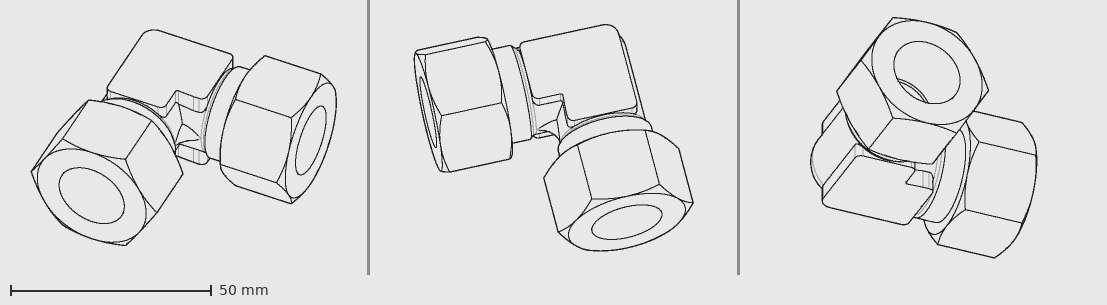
import cadquery as cq
import math


overall_length = 58.3

nut_across_flats = 30.0
nut_across_corners = nut_across_flats / math.cos(math.radians(30))
nut_length = 18.0
nut_chamfer_angle = 30
arm_end = overall_length - nut_across_corners / 2
nut_start = arm_end - nut_length

body_radius = 11.0
body_end = 16.0
collar_radius = 12.0
collar_start = 17.5
neck_fillet = 1.15
neck_step_angle = 45
outer_bend_radius = 5.5
outer_bend_center = body_radius - outer_bend_radius
inner_bend_radius = body_end - body_radius
web_radius = 2.7

pad_half_thickness = 11.45
pad_half_x = 8.05
pad_half_y = 8.85
pad_inner_corner_y = -8.6
pad_taper_end = 12.85
pad_outer_fillet = 3.3
pad_end_fillet = 1.5
pad_inner_fillet = 0.5

bore_radius = 8.5
socket_radius = 9.0
socket_depth = nut_length
drill_tip_angle = 120


def revolved_about_x(profile):
    return profile.close().revolve(360, (0, 0, 0), (1, 0, 0))


def arm_body():
    """Round arm along +X, with a concave neck and a conical step up to the collar."""

    def neck_point(degrees):
        turn = math.radians(degrees)
        return (
            body_end + neck_fillet * math.sin(turn),
            body_radius + neck_fillet * (1 - math.cos(turn)),
        )

    return revolved_about_x(
        cq.Workplane("XY")
        .moveTo(-outer_bend_center, 0)
        .lineTo(-outer_bend_center, body_radius)
        .lineTo(body_end, body_radius)
        .threePointArc(neck_point(neck_step_angle / 2), neck_point(neck_step_angle))
        .lineTo(collar_start, collar_radius)
        .lineTo(nut_start, collar_radius)
        .lineTo(nut_start, 0)
    )


def nut():
    """Hexagon nut along +X with both ends chamfered by turning."""
    flat_radius = nut_across_flats / 2
    corner_radius = nut_across_corners / 2
    chamfer_length = (corner_radius - flat_radius) * math.tan(math.radians(nut_chamfer_angle))
    hexagon = (
        cq.Workplane("YZ", origin=(nut_start, 0, 0))
        .polygon(6, nut_across_corners)
        .extrude(nut_length)
    )
    turned_blank = revolved_about_x(
        cq.Workplane("XY")
        .moveTo(nut_start, 0)
        .lineTo(nut_start, flat_radius)
        .lineTo(nut_start + chamfer_length, corner_radius)
        .lineTo(arm_end - chamfer_length, corner_radius)
        .lineTo(arm_end, flat_radius)
        .lineTo(arm_end, 0)
    )
    return hexagon.intersect(turned_blank)


def bore():
    """Drilled hole along X: conical tip past the elbow centre, wider tube socket at the open end."""
    tip_length = bore_radius / math.tan(math.radians(drill_tip_angle / 2))
    socket_bottom = arm_end - socket_depth
    return revolved_about_x(
        cq.Workplane("XY")
        .moveTo(-tip_length, 0)
        .lineTo(0, bore_radius)
        .lineTo(socket_bottom - (socket_radius - bore_radius), bore_radius)
        .lineTo(socket_bottom, socket_radius)
        .lineTo(arm_end, socket_radius)
        .lineTo(arm_end, 0)
    )


def on_both_arms(shape):
    return shape.union(shape.rotate((0, 0, 0), (0, 0, 1), -90))


def outer_corner():
    """Rounded back of the elbow: the outer part of the arm's circle turned about a vertical axis."""
    half_height = math.sqrt(body_radius**2 - outer_bend_center**2)
    return (
        cq.Workplane("XZ", origin=(-outer_bend_center, outer_bend_center, 0))
        .moveTo(0, -half_height)
        .threePointArc((outer_bend_radius, 0), (0, half_height))
        .close()
        .revolve(360, (0, 0, 0), (0, 1, 0))
    )


def inner_corner_web():
    """Round-edged web in the crook of the elbow, a quarter turn from one arm to the other."""
    web_center_radius = inner_bend_radius + web_radius
    return (
        cq.Workplane("YZ", origin=(body_end, -body_end, 0))
        .center(web_center_radius, 0)
        .circle(web_radius)
        .revolve(90, (-web_center_radius, 0, 0), (-web_center_radius, 1, 0))
    )


def pads():
    """L-shaped block whose top and bottom stand proud of the round arms.

    The inner face along the X arm slopes slightly from the inner corner to the end of its taper.
    """
    corner = (-pad_half_x, pad_half_y)
    inner_corner = (pad_half_x, pad_inner_corner_y)
    taper_corner = (pad_taper_end, -pad_half_y)
    end_corners = [
        (body_end, pad_half_y),
        (body_end, -pad_half_y),
        (pad_half_x, -body_end),
        (-pad_half_x, -body_end),
    ]
    block = (
        cq.Workplane("XY", origin=(0, 0, -pad_half_thickness))
        .polyline([corner, *end_corners[:2], taper_corner, inner_corner, *end_corners[2:]])
        .close()
        .extrude(2 * pad_half_thickness)
    )

    def round_edges(solid, points, radius):
        for point in points:
            solid = solid.edges(cq.selectors.NearestToPointSelector((*point, 0))).fillet(radius)
        return solid

    block = round_edges(block, [corner], pad_outer_fillet)
    block = round_edges(block, [inner_corner], pad_inner_fillet)
    return round_edges(block, end_corners, pad_end_fillet)


result = (
    on_both_arms(arm_body())
    .union(outer_corner())
    .union(inner_corner_web())
    .union(pads())
    .union(on_both_arms(nut()))
    .cut(on_both_arms(bore()))
)